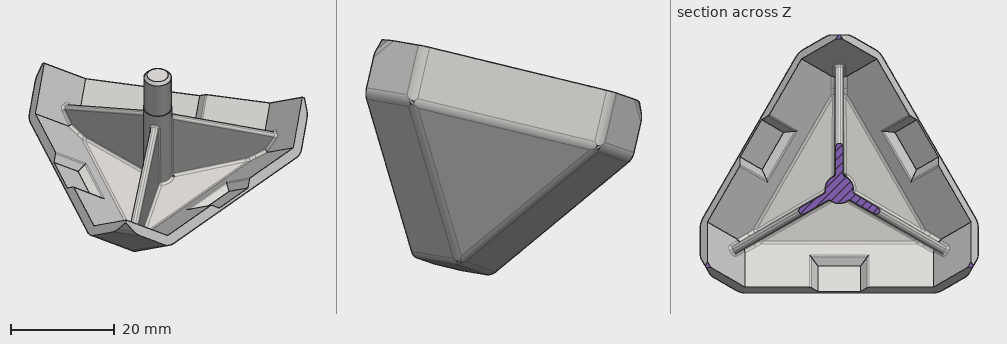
import cadquery as cq
import math

FACE_TILT = math.degrees(math.atan(math.sqrt(2)))
EDGE_TILT = 90 - FACE_TILT
CORNER_AZIMUTHS = (90, 210, 330)
WALL_AZIMUTHS = (270, 30, 150)

CUBE_SIZE = 38.0
RIM_DISTANCE = 20.1
CORNER_WALL_DISTANCE = CUBE_SIZE - RIM_DISTANCE
WALL_REACH = 20.05
DEPTH_Y = 49.88
TIP_REACH = DEPTH_Y - WALL_REACH
SHELL = 2.0
OUTER_FILLET = 3.0
TIP_FILLET = 2.0
FLOOR_FILLET = 1.0
BLANK_SIZE = 60.0

RIM_TILT_SIN = math.sin(math.radians(FACE_TILT))
RIM_TILT_COS = math.cos(math.radians(FACE_TILT))
SIDE_WALL_DISTANCE = (WALL_REACH - RIM_DISTANCE * RIM_TILT_SIN) / RIM_TILT_COS

NOTCH_DEPTH = 1.4
NOTCH_FLOOR_WIDTH = 8.3
NOTCH_FLOOR_LENGTH = 6.0
NOTCH_SIDE_ANGLE = 45
NOTCH_EDGE_FILLET = 0.5

HEIGHT = 26.84
PIN_RADIUS = 2.65
STEM_RADIUS = 2.75
STEM_TOP = 18.8
PIN_CHAMFER = 0.6

RIB_TOP_AT_AXIS = 17.6
RIB_SLOPE = 25.0
RIB_END = 26.0
RIB_TOP_WIDTH = 1.5
RIB_DRAFT = 0.75
RIB_TOP_FILLET = 0.5
RIB_FOOT_FILLET = 0.5
RIB_CORNER_START = 22.0
RIB_FOOT_TOP = 5.0
TOLERANCE = 0.1


def tilted_plane(azimuth, elevation, distance):
    """Plane whose normal has this azimuth and elevation, this far from the origin; its X is level."""
    level = math.cos(math.radians(elevation))
    normal = cq.Vector(
        level * math.cos(math.radians(azimuth)),
        level * math.sin(math.radians(azimuth)),
        math.sin(math.radians(elevation)),
    )
    across = cq.Vector(-math.sin(math.radians(azimuth)), math.cos(math.radians(azimuth)), 0)
    return cq.Plane(origin=normal * distance, xDir=across, normal=normal)


def cube_axis(azimuth):
    return tilted_plane(azimuth, EDGE_TILT, 0).zDir


def walls_prism(azimuth, inset, rim, edge_fillet):
    """Prism along one cube axis: two corner walls with the side wall between them cut across."""
    corner = inset - CORNER_WALL_DISTANCE
    cut_end = -math.sqrt(2) * (SIDE_WALL_DISTANCE - inset) - corner
    frame = cq.Plane(origin=(0, 0, 0), xDir=cube_axis(azimuth + 120), normal=cube_axis(azimuth))
    prism = (
        cq.Workplane(frame)
        .polyline([(corner, cut_end), (cut_end, corner), (rim, corner), (rim, rim), (corner, rim)])
        .close()
        .extrude(BLANK_SIZE, both=True)
    )
    if edge_fillet:
        ends = [frame.toWorldCoords(p).toTuple() for p in ((corner, cut_end), (cut_end, corner))]
        for end in ends:
            prism = prism.edges(cq.selectors.NearestToPointSelector(end)).fillet(edge_fillet)
    return prism


def floor_prism(azimuth, tilt, distance, floor_height, floor_fillet):
    """Level prism along a wall: the floor and that wall, joined by a fillet."""
    slope = math.radians(tilt)
    foot = (distance + floor_height * math.sin(slope)) / math.cos(slope)
    reach = foot + (BLANK_SIZE - floor_height) * math.tan(slope)
    outward = tilted_plane(azimuth, 0, 0).zDir
    frame = cq.Plane(origin=(0, 0, 0), xDir=outward, normal=outward.cross(cq.Vector(0, 0, 1)))
    foot_edge = frame.toWorldCoords((foot, floor_height)).toTuple()
    return (
        cq.Workplane(frame)
        .moveTo(-BLANK_SIZE, floor_height)
        .lineTo(foot, floor_height)
        .lineTo(reach, BLANK_SIZE)
        .lineTo(-BLANK_SIZE, BLANK_SIZE)
        .close()
        .extrude(BLANK_SIZE, both=True)
        .edges(cq.selectors.NearestToPointSelector(foot_edge))
        .fillet(floor_fillet)
    )


def funnel(inset, rim, edge_fillet, floor_fillet):
    """Solid bounded by the floor, side walls and corner walls, all moved inward by the inset."""
    body = cq.Workplane("XY").box(2 * BLANK_SIZE, 2 * BLANK_SIZE, 2 * BLANK_SIZE)
    for azimuth in WALL_AZIMUTHS:
        body = body.intersect(walls_prism(azimuth, inset, rim, edge_fillet))
        side_wall = SIDE_WALL_DISTANCE - inset
        body = body.intersect(floor_prism(azimuth, FACE_TILT, side_wall, inset, floor_fillet))
    return body


def outer_body():
    """Outside of the tray, with its three tips cut upright and rounded into the corner walls."""
    body = funnel(0, RIM_DISTANCE, OUTER_FILLET, OUTER_FILLET)
    for azimuth in CORNER_AZIMUTHS:
        body = body.intersect(floor_prism(azimuth, EDGE_TILT, CORNER_WALL_DISTANCE, 0, OUTER_FILLET))
    tip_height = (TIP_REACH * RIM_TILT_SIN - CORNER_WALL_DISTANCE) / RIM_TILT_COS
    for azimuth in CORNER_AZIMUTHS:
        face = tilted_plane(azimuth, 0, TIP_REACH)
        beyond = cq.Workplane(face).rect(BLANK_SIZE, 2 * BLANK_SIZE).extrude(BLANK_SIZE)
        tip_edge = face.origin + cq.Vector(0, 0, tip_height)
        body = body.cut(beyond)
        body = body.edges(cq.selectors.NearestToPointSelector(tip_edge.toTuple())).fillet(TIP_FILLET)
    return body


def hollow():
    return funnel(SHELL, RIM_DISTANCE + SHELL, 0, FLOOR_FILLET)


def cut_notch(body, azimuth):
    """Pocket in the inner face of a side wall, open at the rim, with sloping sides and end."""
    mouth = tilted_plane(azimuth, -FACE_TILT, SIDE_WALL_DISTANCE - SHELL)
    flare = NOTCH_DEPTH * math.tan(math.radians(NOTCH_SIDE_ANGLE))
    half_width = NOTCH_FLOOR_WIDTH / 2 + flare
    end = RIM_DISTANCE - NOTCH_FLOOR_LENGTH - flare
    pocket = (
        cq.Workplane(mouth)
        .center(0, RIM_DISTANCE)
        .rect(2 * half_width, 2 * (RIM_DISTANCE - end))
        .extrude(NOTCH_DEPTH, taper=NOTCH_SIDE_ANGLE)
    )
    body = body.cut(pocket)
    middle = (end + RIM_DISTANCE) / 2
    for point in ((0, end), (-half_width, middle), (half_width, middle)):
        mouth_edge = cq.selectors.NearestToPointSelector(mouth.toWorldCoords(point).toTuple())
        body = body.edges(mouth_edge).fillet(NOTCH_EDGE_FILLET)
    return body


def rib(azimuth):
    """Radial rib with a falling, rounded top; it widens away from that top."""
    slope = math.radians(RIB_SLOPE)
    top_half = RIB_TOP_WIDTH / 2
    depth = RIB_TOP_AT_AXIS
    bottom_half = top_half + depth * math.tan(math.radians(RIB_DRAFT))
    along_top = cq.Vector(math.cos(slope), 0, -math.sin(slope))
    start = cq.Vector(0, 0, RIB_TOP_AT_AXIS)
    length = RIB_END / math.cos(slope)
    body = (
        cq.Workplane(cq.Plane(origin=start, xDir=(0, 1, 0), normal=along_top))
        .polyline([(-top_half, 0), (top_half, 0), (bottom_half, -depth), (-bottom_half, -depth)])
        .close()
        .extrude(length)
    )
    top_middle = (start + along_top * (length / 2)).toTuple()
    top_face = cq.selectors.NearestToPointSelector(top_middle)
    body = body.faces(top_face).edges("not |Y").fillet(RIB_TOP_FILLET)
    beyond_axis = cq.Workplane("XY").box(RIB_END, RIB_END, RIB_TOP_AT_AXIS, centered=(False, True, False))
    return body.intersect(beyond_axis).rotate((0, 0, 0), (0, 0, 1), azimuth)


def stem():
    lower = cq.Workplane("XY").circle(STEM_RADIUS).extrude(STEM_TOP)
    pin = cq.Workplane("XY").circle(PIN_RADIUS).extrude(HEIGHT).faces(">Z").chamfer(PIN_CHAMFER)
    return lower.union(pin)


def round_rib_foot(body, azimuth):
    """Fillet the edges where a rib meets the floor, the walls and the stem."""

    def is_foot(edge):
        center = edge.Center()
        in_rib_length = 0 < center.x < RIB_END
        in_rib_width = abs(center.y) < RIB_TOP_WIDTH
        in_rib_height = SHELL - TOLERANCE < center.z < STEM_TOP - TOLERANCE
        at_stem = center.x < STEM_RADIUS + TOLERANCE
        at_corner = center.x > RIB_CORNER_START
        at_floor = center.z < RIB_FOOT_TOP
        return in_rib_length and in_rib_width and in_rib_height and (at_stem or at_corner or at_floor)

    turned = body.rotate((0, 0, 0), (0, 0, 1), -azimuth)
    rounded = turned.edges().filter(is_foot).fillet(RIB_FOOT_FILLET)
    return rounded.rotate((0, 0, 0), (0, 0, 1), azimuth)


outer = outer_body()
tray = outer.cut(hollow())
for azimuth in WALL_AZIMUTHS:
    tray = cut_notch(tray, azimuth)
for azimuth in CORNER_AZIMUTHS:
    tray = tray.union(rib(azimuth).intersect(outer))
result = tray.union(stem())
for azimuth in CORNER_AZIMUTHS:
    result = round_rib_foot(result, azimuth)